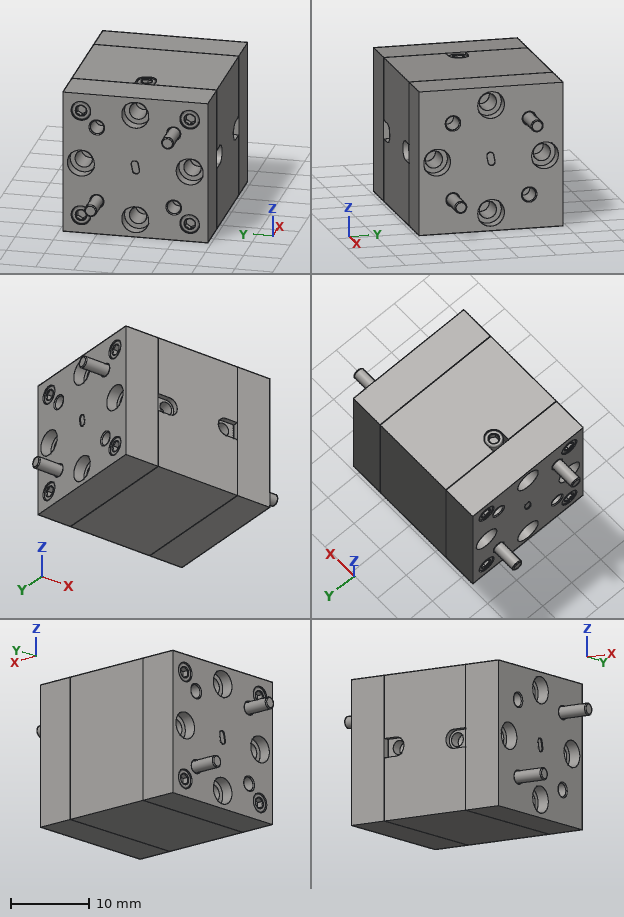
import cadquery as cq
import math

side = 19.05
left_tip = -15.27
right_tip = 15.27
left_face = -11.65
right_face = 11.2
flange_length = 5.1
joint_gap = 0.05
joint_depth = 0.92
middle_left = left_face + flange_length + joint_gap
middle_right = right_face - flange_length - joint_gap

pattern_radius = 7.15
diagonal_offset = pattern_radius / math.sqrt(2)
bolt_hole_radius = 1.13
bolt_recess_radius = 1.77
bolt_recess_depth = 1.6
dowel_socket_radius = 0.9
dowel_socket_depth = 3.05
chamfer_size = 0.137
dowel_radius = 0.8
slot_length = 1.77
slot_width = 0.92
slot_angle = 79.0
slot_depth = 0.15

head_radius = 1.22
head_height = 1.53
head_inset = 0.1
recess_depth = head_inset + head_height
head_fillet = 0.12
shank_radius = 0.75
shank_length = 4.9
hex_across_flats = 1.28
hex_depth = 0.92
hex_turn = 30.0
hex_rim_radius = 0.75
screw_recess_radius = 1.28

top_notch_offset = 1.37
front_notch_offset = 1.75
front_notch_radius = 1.25
front_notch_depth = 0.75
drill_radius = 0.92
drill_depth = 1.53
drill_point_angle = 118.0

half_side = side / 2
top_screw_x = middle_left + top_notch_offset
corners = [(y, z) for y in (-pattern_radius, pattern_radius) for z in (-pattern_radius, pattern_radius)]


def rod_x(start, end, radius, y=0.0, z=0.0):
    """Cylinder along X from start to end."""
    return cq.Workplane("YZ", origin=(start, y, z)).circle(radius).extrude(end - start)


def block_x(start, end, width):
    """Centred square bar along X from start to end."""
    return cq.Workplane("YZ", origin=(start, 0, 0)).rect(width, width).extrude(end - start)


def mouth_chamfer(face, radius, y, z):
    """Cone that breaks the edge of a hole in a face looking to -X."""
    mouth = cq.Workplane("YZ", origin=(face, y, z)).circle(radius + chamfer_size)
    return mouth.workplane(offset=chamfer_size).circle(radius).loft()


def flange_cutter(face):
    """Bolt holes, dowel holes and waveguide slot of a flange whose face looks to -X."""
    slot = cq.Workplane("YZ", origin=(face, 0, 0))
    cutter = slot.slot2D(slot_length, slot_width, slot_angle).extrude(slot_depth)
    for y, z in ((pattern_radius, 0), (-pattern_radius, 0), (0, pattern_radius), (0, -pattern_radius)):
        cutter = cutter.union(rod_x(face, face + flange_length + joint_gap, bolt_hole_radius, y, z))
        cutter = cutter.union(rod_x(face, face + bolt_recess_depth, bolt_recess_radius, y, z))
    for sign in (-1, 1):
        offset = sign * diagonal_offset
        cutter = cutter.union(rod_x(face, face + dowel_socket_depth, dowel_socket_radius, offset, offset))
        cutter = cutter.union(mouth_chamfer(face, dowel_socket_radius, offset, offset))
        cutter = cutter.union(mouth_chamfer(face, dowel_radius, offset, -offset))
    return cutter


def flange_dowels(face, tip):
    """Two dowels on one diagonal, standing out to -X from the flange face."""
    dowels = cq.Workplane()
    for sign in (-1, 1):
        offset = sign * diagonal_offset
        dowel = rod_x(tip, face + flange_length, dowel_radius, offset, -offset)
        dowels = dowels.add(dowel.faces("<X").chamfer(chamfer_size))
    return dowels.combine()


def turned(shape):
    """Half turn about Z, which carries the left end pattern to the right end."""
    return shape.rotate((0, 0, 0), (0, 0, 1), 180)


def screw():
    """Socket head screw along Z, top of the head at the origin, shank pointing down."""
    body = cq.Workplane("XY").circle(head_radius).extrude(-head_height)
    body = body.faces(">Z").edges().fillet(head_fillet)
    shank = cq.Workplane("XY", origin=(0, 0, -head_height)).circle(shank_radius).extrude(-shank_length)
    hexagon = cq.Workplane("XY").polygon(6, hex_across_flats, circumscribed=True).extrude(-hex_depth)
    hexagon = hexagon.rotate((0, 0, 0), (0, 0, 1), hex_turn)
    rim = cq.Workplane("XY").circle(hex_rim_radius)
    rim = rim.workplane(offset=hex_across_flats / 2 - hex_rim_radius).circle(hex_across_flats / 2).loft()
    return body.union(shank).cut(hexagon).cut(rim)


def corner_screw(y, z):
    """Screw that enters the left flange from its outer face."""
    return screw().rotate((0, 0, 0), (0, 1, 0), -90).translate((left_face + head_inset, y, z))


def top_screw():
    """Screw that enters the middle block from the top notch."""
    return screw().translate((top_screw_x, 0, half_side - head_inset))


def notch(plane, origin, end, radius, depth):
    """Notch with one round end at the origin, running out along X through the block end."""
    round_end = cq.Workplane(plane, origin=origin).circle(radius).extrude(-depth)
    run = end - origin[0]
    straight = cq.Workplane(plane, origin=origin).center(run / 2, 0).rect(abs(run), 2 * radius)
    return round_end.union(straight.extrude(-depth))


def front_notch(end, direction):
    """Notch in the -Y side with a drilled hole; direction points into the block along X."""
    x = end + direction * front_notch_offset
    pocket = notch("XZ", (x, -half_side, 0), end, front_notch_radius, front_notch_depth)
    floor = -half_side + front_notch_depth
    point = drill_radius / math.tan(math.radians(drill_point_angle / 2))
    profile = [(0, 0), (drill_radius, 0), (drill_radius, drill_depth), (0, drill_depth + point)]
    drill = cq.Workplane("XY", origin=(x, floor, 0)).polyline(profile).close().revolve(360, (0, 0), (0, 1))
    return pocket.union(drill)


def screw_holes():
    """Stepped holes for the corner screws, and the notch and hole for the top screw."""
    cutter = notch("XY", (top_screw_x, 0, half_side), middle_left, screw_recess_radius, recess_depth)
    top_hole = cq.Workplane("XY", origin=(top_screw_x, 0, half_side)).circle(shank_radius)
    cutter = cutter.union(top_hole.extrude(-recess_depth - shank_length))
    for y, z in corners:
        cutter = cutter.union(rod_x(left_face, left_face + recess_depth, screw_recess_radius, y, z))
        shank_end = left_face + recess_depth + shank_length
        cutter = cutter.union(rod_x(left_face, shank_end, shank_radius, y, z))
    return cutter


def housing():
    """Flanges, middle block and dowels in one piece, with all recesses."""
    body = block_x(left_face, right_face, side - 2 * joint_depth)
    body = body.union(block_x(left_face, left_face + flange_length, side))
    body = body.union(block_x(middle_left, middle_right, side))
    body = body.union(block_x(right_face - flange_length, right_face, side))
    body = body.cut(flange_cutter(left_face)).cut(turned(flange_cutter(-right_face)))
    body = body.cut(screw_holes())
    body = body.cut(front_notch(middle_left, 1)).cut(front_notch(middle_right, -1))
    body = body.union(flange_dowels(left_face, left_tip))
    return body.union(turned(flange_dowels(-right_face, -right_tip)))


corner_screws = [corner_screw(y, z) for y, z in corners]
result = cq.Compound.makeCompound(
    [housing().val(), top_screw().val(), *[item.val() for item in corner_screws]]
)